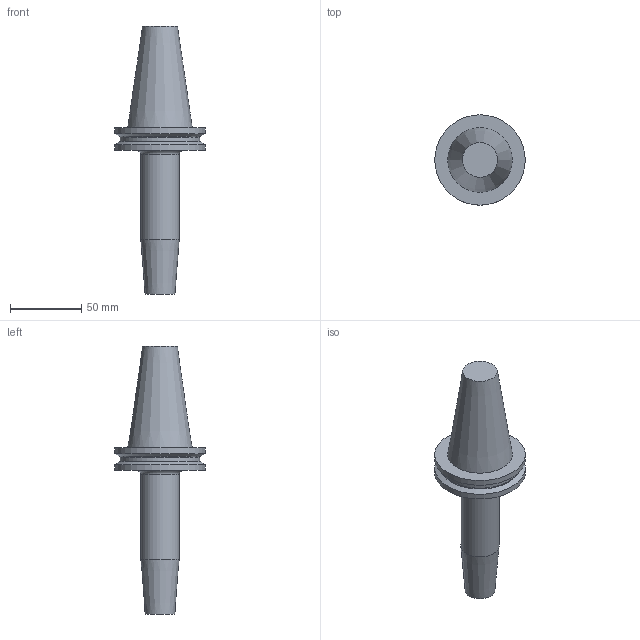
import cadquery as cq
import math


gauge_diameter = 44.45
taper_length = 68.4
taper_ratio = 7 / 24

flange_diameter = 63.55
flange_top_z = -3.2
flange_bottom_z = -19.1
groove_floor_diameter = 56.0
groove_center_z = -11.1
groove_floor_width = 3.4
groove_corner_radius = 0.6
groove_flank_angle = 30.0

nose_diameter = 27.0
tip_diameter = 21.0
tip_z = -120.0
nose_cone_angle = 4.5
root_fillet_radius = 3.0


def cylinder(diameter, bottom_z, top_z):
    """Solid cylinder about Z between two heights."""
    return cq.Workplane("XY").workplane(offset=bottom_z).circle(diameter / 2).extrude(top_z - bottom_z)


def revolve_profile(profile):
    """Revolve a closed XZ profile a full turn about Z."""
    return profile.close().revolve(360, (0, 0, 0), (0, 1, 0))


def make_shank():
    """Taper widening from the small top end, through the gauge plane, to the flange."""
    gauge_radius = gauge_diameter / 2
    base_radius = gauge_radius - flange_top_z * taper_ratio / 2
    top_radius = gauge_radius - taper_length * taper_ratio / 2
    profile = (
        cq.Workplane("XZ")
        .moveTo(0, flange_top_z)
        .lineTo(base_radius, flange_top_z)
        .lineTo(top_radius, taper_length)
        .lineTo(0, taper_length)
    )
    return revolve_profile(profile)


def make_groove_cutter():
    """Ring with a trapezoidal section that cuts the gripper groove."""
    floor_radius = groove_floor_diameter / 2
    rim_radius = flange_diameter / 2
    half_floor = groove_floor_width / 2
    flank_height = (rim_radius - floor_radius) * math.tan(math.radians(groove_flank_angle))
    half_mouth = half_floor + flank_height
    profile = (
        cq.Workplane("XZ")
        .moveTo(floor_radius, groove_center_z - half_floor)
        .lineTo(rim_radius, groove_center_z - half_mouth)
        .lineTo(rim_radius, groove_center_z + half_mouth)
        .lineTo(floor_radius, groove_center_z + half_floor)
    )
    return revolve_profile(profile)


def make_flange():
    """Flange disc with the gripper groove around its rim, rounded where flanks meet floor."""
    grooved_disc = cylinder(flange_diameter, flange_bottom_z, flange_top_z).cut(make_groove_cutter())
    floor_edges = grooved_disc.edges("%CIRCLE").edges(cq.selectors.RadiusNthSelector(0))
    return floor_edges.fillet(groove_corner_radius)


def make_nose():
    """Nose with a concave fillet under the flange and a cone down to the tip."""
    nose_radius = nose_diameter / 2
    tip_radius = tip_diameter / 2
    cone_length = (nose_radius - tip_radius) / math.tan(math.radians(nose_cone_angle))
    fillet_outer_radius = nose_radius + root_fillet_radius
    fillet_bottom_z = flange_bottom_z - root_fillet_radius
    fillet_mid_offset = root_fillet_radius * (1 - math.sqrt(0.5))
    profile = (
        cq.Workplane("XZ")
        .moveTo(0, tip_z)
        .lineTo(tip_radius, tip_z)
        .lineTo(nose_radius, tip_z + cone_length)
        .lineTo(nose_radius, fillet_bottom_z)
        .threePointArc(
            (nose_radius + fillet_mid_offset, flange_bottom_z - fillet_mid_offset),
            (fillet_outer_radius, flange_bottom_z),
        )
        .lineTo(0, flange_bottom_z)
    )
    return revolve_profile(profile)


result = make_shank().union(make_flange()).union(make_nose())